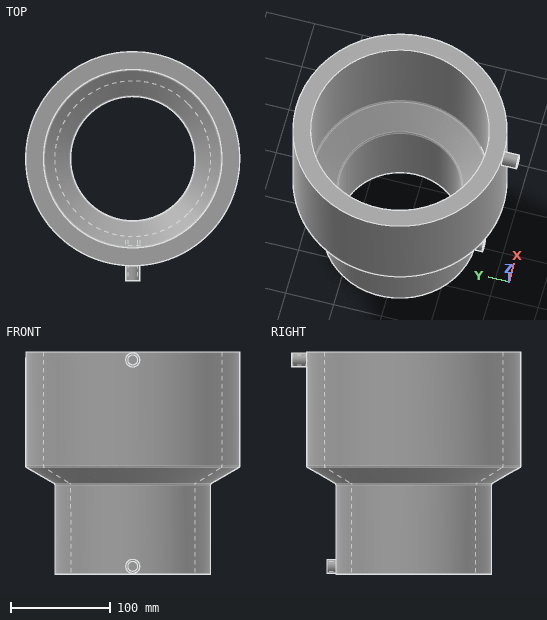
import cadquery as cq

total_height = 224.0
small_length = 91.0
cone_height = 17.0
cone_top = small_length + cone_height

large_outer_radius = 108.0
large_bore_radius = 90.0

small_outer_radius = 78.5
small_bore_radius = 62.5

outer_blend_radius = 2.0
inner_blend_radius = 2.0

terminal_outer_radius = 7.1
terminal_bore_radius = 5.0
terminal_end_offset = 8.0
large_terminal_reach = 123.0
small_terminal_reach = 87.5
terminal_root_overlap = 3.0


def stepped_solid(small_radius, large_radius, blend_radius):
    """Two coaxial cylinders joined by a cone, with both cone edges rounded."""
    body = (
        cq.Workplane("XZ")
        .moveTo(0, 0)
        .lineTo(small_radius, 0)
        .lineTo(small_radius, small_length)
        .lineTo(large_radius, cone_top)
        .lineTo(large_radius, total_height)
        .lineTo(0, total_height)
        .close()
        .revolve(360, (0, 0), (0, 1))
    )
    cone_faces = body.faces("%CONE")
    return cone_faces.edges("%CIRCLE").fillet(blend_radius)


def terminal_cylinder(radius, start, reach, height):
    """Cylinder pointing to -Y, from distance start to distance reach off the main axis."""
    return (
        cq.Workplane("XZ", origin=(0, -start, height))
        .circle(radius)
        .extrude(reach - start)
    )


def add_terminal(body, wall_radius, reach, height):
    """Hollow terminal sleeve whose bore stops at the socket wall."""
    root = wall_radius - terminal_root_overlap
    sleeve = terminal_cylinder(terminal_outer_radius, root, reach, height)
    bore = terminal_cylinder(terminal_bore_radius, wall_radius, reach, height)
    return body.union(sleeve).cut(bore)


outside = stepped_solid(small_outer_radius, large_outer_radius, outer_blend_radius)
inside = stepped_solid(small_bore_radius, large_bore_radius, inner_blend_radius)
reducer = outside.cut(inside)
reducer = add_terminal(
    reducer, large_outer_radius, large_terminal_reach, total_height - terminal_end_offset
)
result = add_terminal(reducer, small_outer_radius, small_terminal_reach, terminal_end_offset)